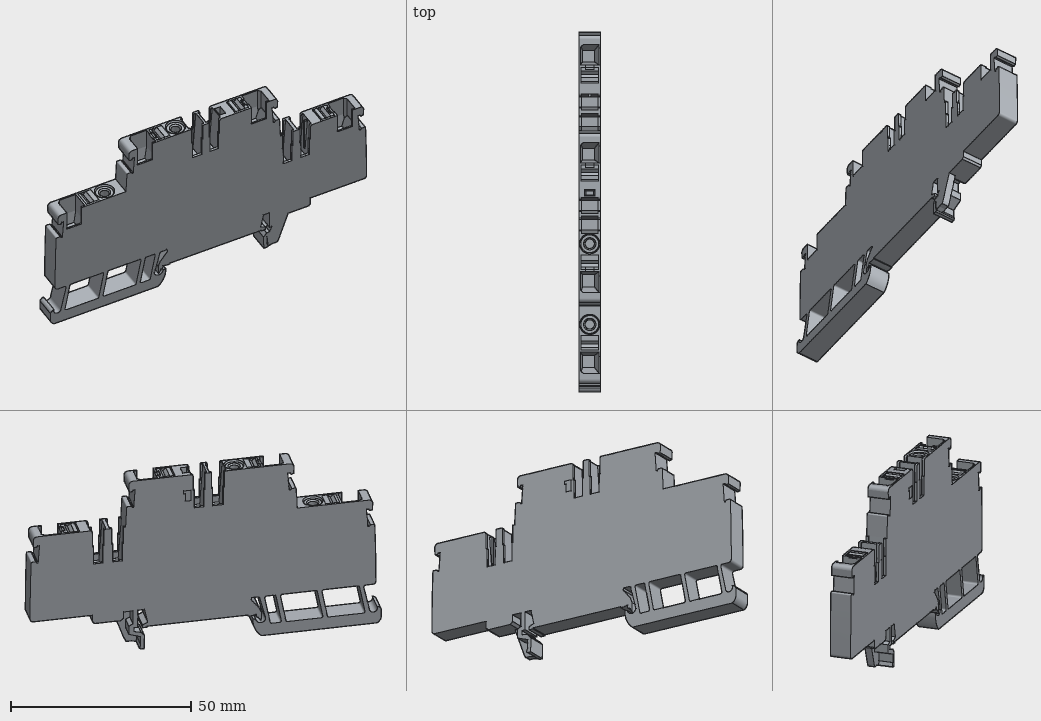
import cadquery as cq
import math

WIDTH = 6.1
HALF_WIDTH = WIDTH / 2
END_Y = 50.0
LOWER_TOP = 39.3
UPPER_TOP = 53.6
BODY_BOTTOM = 12.4
RAIL_SEAT = 7.0
TOE_BOTTOM = RAIL_SEAT - 0.3
MARGIN = 1.0

LOWER_LIP_PLUS = 49.7
UPPER_LIP_PLUS = 22.5
UPPER_LIP_MINUS = -25.8
LOWER_LIP_MINUS = -48.2
LIP_DROP = 8.3
BOTTOM_ROUND = 0.9
LIP_DRAFT = 0.3
CURVE_BULGE = 0.8

SLOT_DEPTH = 10.6
SLOT_STEP_DEPTH = 5.1
SLOT_STEP = 0.3
WELL_HALF_WIDTH = 2.3
WELL_FLARE = 0.6
WELL_EXTRA_DEPTH = 2.0
GUIDE_RIB_WIDTH = 0.6
GUIDE_RIB_DROP = 0.6

FUNNEL_SHAFT_DEPTH = 6.0
FUNNEL_TAPER_DEPTH = 3.5
FUNNEL_OUTER_TAPER = 1.6
FUNNEL_INNER_TAPER = 0.9
FUNNEL_CORNER = 0.8
FUNNEL_TOP_X = (-2.6, 2.6)
FUNNEL_FLOOR_X = (-2.0, 1.3)
PUSHER_WIDTH = 4.8
PUSHER_DEPTH = 10.0
PUSHER_POCKET_END = 13.9
GROOVE_START = 10.6
GROOVE_END = 12.4
GROOVE_DEPTH = 0.8
NOTCH_WIDTH = 2.4
NOTCH_DEPTH = 0.4
NOTCH_OVERLAP = 0.6

SOCKET_FROM_LIP = 17.0
SOCKET_RADIUS = 2.5
SOCKET_SEAT_RADIUS = 2.8
SOCKET_RECESS = 0.5
SOCKET_LENGTH = 8.0
SOCKET_BORE_RADIUS = 1.3
SOCKET_MOUTH_RADIUS = 1.7
SOCKET_BORE_DEPTH = 6.0

INSERT_TOP = 48.7
INSERT_BOTTOM = 45.4
INSERT_HALF_WIDTH = 1.5
INSERT_Y = (4.2, 6.3)
INSERT_HEAD_HEIGHT = 0.9
INSERT_HEAD_STEP = 0.5
WINDOW_Y = (4.4, 6.2)
WINDOW_TAPER = 0.4

FOOT_WEB_START_X = 1.0
PLATE_TOP = 3.6
RIB_LEAN = 1.7
RIB_HALF_WIDTH = 0.65
RIB_TOPS = (-16.1, -20.6, -32.4, -44.4)
RIB_ROOT_ROUND = 0.6
OPENING_FILLET = 0.5

PLUS_STYLE = {"side": 1, "funnel": (3.2, 8.9), "opening": (4.2, 8.9), "pusher": (9.5, 13.5)}
MINUS_STYLE = {"side": -1, "funnel": (3.4, 9.3), "opening": (3.4, 8.1), "pusher": (9.9, 13.9)}
TERMINALS = (
    {"lip": LOWER_LIP_PLUS, "top": LOWER_TOP, "notch": True, **PLUS_STYLE},
    {"lip": UPPER_LIP_PLUS, "top": UPPER_TOP, "notch": True, **PLUS_STYLE},
    {"lip": UPPER_LIP_MINUS, "top": UPPER_TOP, "notch": True, **MINUS_STYLE},
    {"lip": LOWER_LIP_MINUS, "top": LOWER_TOP, "notch": False, **MINUS_STYLE},
)
SOCKETS = (
    (UPPER_LIP_MINUS + SOCKET_FROM_LIP, UPPER_TOP),
    (LOWER_LIP_MINUS + SOCKET_FROM_LIP, LOWER_TOP),
)
LOWER_SLOTS = ((28.9, 32.2, 0.3, 0.8), (23.4, 26.7, 0.0, 0.3))
UPPER_SLOTS = ((0.2, 3.5, 0.3, 0.8), (-5.3, -1.7, 0.5, 0.3))


def plate(points, thickness=WIDTH):
    """Flat shape with the given (Y, Z) outline, centred on X = 0."""
    return cq.Workplane("YZ").polyline(points).close().extrude(thickness / 2, both=True)


def block(x_range, y_range, z_range):
    """Box between the given limits."""
    return (
        cq.Workplane("XY", origin=(0, 0, z_range[0]))
        .moveTo(x_range[0], y_range[0])
        .lineTo(x_range[1], y_range[0])
        .lineTo(x_range[1], y_range[1])
        .lineTo(x_range[0], y_range[1])
        .close()
        .extrude(z_range[1] - z_range[0])
    )


def tapered_hole(floor_x, floor_y, top_x, top_y, floor_z, top_z):
    """Four-sided funnel from a floor rectangle up to a larger top rectangle."""
    return (
        cq.Workplane("XY", origin=(sum(floor_x) / 2, sum(floor_y) / 2, floor_z))
        .rect(abs(floor_x[1] - floor_x[0]), abs(floor_y[1] - floor_y[0]))
        .workplane(offset=top_z - floor_z)
        .center((sum(top_x) - sum(floor_x)) / 2, (sum(top_y) - sum(floor_y)) / 2)
        .rect(abs(top_x[1] - top_x[0]), abs(top_y[1] - top_y[0]))
        .loft()
    )


def inward(terminal, distance):
    """Y at a distance inward from the lip of a terminal."""
    return terminal["lip"] - terminal["side"] * distance


def inward_range(terminal, start, end):
    """Sorted Y limits between two distances inward from the lip."""
    return tuple(sorted((inward(terminal, start), inward(terminal, end))))


def deck_body():
    """Two-deck body with the middle block that rests on the rail."""
    plus_end = LOWER_LIP_PLUS + LIP_DRAFT
    minus_end = LOWER_LIP_MINUS - LIP_DRAFT
    round_sag = BOTTOM_ROUND * (1 - math.sqrt(0.5))
    lower_lip_z = LOWER_TOP - LIP_DROP
    upper_lip_z = UPPER_TOP - LIP_DROP
    curve_z = (lower_lip_z + BODY_BOTTOM) / 2
    round_top = BODY_BOTTOM + BOTTOM_ROUND
    curve_out = CURVE_BULGE * LIP_DRAFT
    decks = [
        (LOWER_LIP_PLUS, LOWER_TOP),
        (UPPER_LIP_PLUS + LIP_DRAFT, LOWER_TOP),
        (UPPER_LIP_PLUS, upper_lip_z),
        (UPPER_LIP_PLUS, UPPER_TOP),
        (UPPER_LIP_MINUS, UPPER_TOP),
        (UPPER_LIP_MINUS, upper_lip_z),
        (UPPER_LIP_MINUS - LIP_DRAFT, LOWER_TOP),
        (LOWER_LIP_MINUS, LOWER_TOP),
        (LOWER_LIP_MINUS, lower_lip_z),
    ]
    underside = [
        (-13.1, BODY_BOTTOM),
        (-12.9, 11.8),
        (-15.3, 8.9),
        (-15.9, 7.4),
        (-15.8, 4.7),
        (-15.0, 5.9),
        (-14.4, 6.1),
        (-14.4, RAIL_SEAT),
        (-13.2, TOE_BOTTOM),
        (-12.1, TOE_BOTTOM),
        (-12.1, RAIL_SEAT),
        (16.7, RAIL_SEAT),
        (16.7, TOE_BOTTOM),
        (18.0, TOE_BOTTOM),
        (18.0, 7.6),
        (16.5, 8.3),
        (17.4, BODY_BOTTOM),
        (23.4, BODY_BOTTOM),
        (23.4, 10.4),
        (24.2, 9.7),
        (31.7, 9.7),
        (32.2, 10.3),
        (32.2, BODY_BOTTOM),
        (plus_end - BOTTOM_ROUND, BODY_BOTTOM),
    ]
    return (
        cq.Workplane("YZ")
        .moveTo(plus_end, round_top)
        .threePointArc((LOWER_LIP_PLUS + curve_out, curve_z), (LOWER_LIP_PLUS, lower_lip_z))
        .polyline(decks, includeCurrent=True)
        .threePointArc((LOWER_LIP_MINUS - curve_out, curve_z), (minus_end, round_top))
        .threePointArc(
            (minus_end + round_sag, BODY_BOTTOM + round_sag), (minus_end + BOTTOM_ROUND, BODY_BOTTOM)
        )
        .polyline(underside, includeCurrent=True)
        .threePointArc((plus_end - round_sag, BODY_BOTTOM + round_sag), (plus_end, round_top))
        .close()
        .extrude(HALF_WIDTH, both=True)
    )


def marker_catch(terminal):
    """Cutter for the notch and rounded hook at a deck end."""
    def at(inset, drop):
        return inward(terminal, inset), terminal["top"] - drop

    return (
        cq.Workplane("YZ")
        .moveTo(*at(-MARGIN, LIP_DROP))
        .lineTo(*at(0, LIP_DROP))
        .threePointArc(at(0.1, 8.0), at(0.4, 7.9))
        .lineTo(*at(1.3, 7.9))
        .lineTo(*at(1.7, 8.4))
        .lineTo(*at(2.0, 8.3))
        .lineTo(*at(2.4, 2.9))
        .lineTo(*at(1.8, 2.9))
        .lineTo(*at(1.5, 3.4))
        .lineTo(*at(0.7, 3.2))
        .lineTo(*at(0.6, 1.1))
        .threePointArc(at(1.0, 0.3), at(1.8, 0))
        .lineTo(*at(1.8, -MARGIN))
        .lineTo(*at(-MARGIN, -MARGIN))
        .close()
        .extrude(HALF_WIDTH, both=True)
    )


def foot():
    """Spring strip with a hooked toe, stiffened by a thinner web behind it."""
    strip = plate([
        (20.7, BODY_BOTTOM + MARGIN),
        (20.7, 8.3),
        (21.9, 7.7),
        (21.9, 5.1),
        (18.5, 3.9),
        (18.5, 1.4),
        (18.9, 0.3),
        (18.5, 0),
        (17.5, 0),
        (17.4, 4.2),
        (18.4, 5.3),
        (20.4, 5.8),
        (20.4, RAIL_SEAT),
        (19.3, RAIL_SEAT),
        (19.3, BODY_BOTTOM + MARGIN),
    ])
    web = plate([
        (25.2, 9.7),
        (22.2, 1.4),
        (21.7, 0.6),
        (20.2, 0.6),
        (18.9, 0.3),
        (18.5, 3.9),
        (20.7, 8.3),
        (20.7, BODY_BOTTOM + MARGIN),
        (25.2, BODY_BOTTOM + MARGIN),
    ])
    recess = cq.Workplane("XY").box(WIDTH, END_Y, UPPER_TOP)
    web = web.cut(recess.translate((FOOT_WEB_START_X - HALF_WIDTH, END_Y / 2, 0)))
    return strip.union(web)


def rail_plate():
    """Plate carried by leaning ribs, with a groove at each end."""
    first_rib_y = RIB_TOPS[0] + RIB_HALF_WIDTH
    last_rib_y = RIB_TOPS[-1] - RIB_HALF_WIDTH
    root_z = BODY_BOTTOM - RIB_ROOT_ROUND
    root_sag = RIB_ROOT_ROUND * (1 - math.sqrt(0.5))
    outline = (
        cq.Workplane("YZ")
        .moveTo(first_rib_y + RIB_ROOT_ROUND, BODY_BOTTOM + MARGIN)
        .lineTo(first_rib_y + RIB_ROOT_ROUND, BODY_BOTTOM)
        .threePointArc((first_rib_y + root_sag, BODY_BOTTOM - root_sag), (first_rib_y, root_z))
        .lineTo(-17.1, 5.4)
        .threePointArc((-15.7, 4.2), (-14.3, 5.4))
        .lineTo(-13.5, 5.6)
        .threePointArc((-14.0, 2.5), (-15.9, 0))
        .lineTo(-48.8, 0)
        .threePointArc((-49.6, 0.7), (-END_Y, 1.8))
        .lineTo(-END_Y, 4.3)
        .threePointArc((-49.6, 4.9), (-48.8, 5.2))
        .threePointArc((-47.6, 3.6), (-46.6, 4.8))
        .lineTo(last_rib_y, root_z)
        .threePointArc(
            (last_rib_y - root_sag, BODY_BOTTOM - root_sag), (last_rib_y - RIB_ROOT_ROUND, BODY_BOTTOM)
        )
        .lineTo(last_rib_y - RIB_ROOT_ROUND, BODY_BOTTOM + MARGIN)
        .close()
        .extrude(HALF_WIDTH, both=True)
    )
    for rib, next_rib in zip(RIB_TOPS, RIB_TOPS[1:]):
        high_y = rib - RIB_HALF_WIDTH
        low_y = next_rib + RIB_HALF_WIDTH
        opening = plate([
            (high_y, BODY_BOTTOM),
            (low_y, BODY_BOTTOM),
            (low_y - RIB_LEAN, PLATE_TOP),
            (high_y - RIB_LEAN, PLATE_TOP),
        ])
        outline = outline.cut(opening.edges("|X").fillet(OPENING_FILLET))
    return outline


def bridge_slot(low_y, high_y, low_round, high_round, top):
    """Cutter for a slot across the block: rounded mouth, then a step to a narrower base."""
    floor = top - SLOT_DEPTH
    step = top - SLOT_STEP_DEPTH
    slot = plate([
        (low_y, top + MARGIN),
        (low_y, step),
        (low_y + SLOT_STEP, step),
        (low_y + SLOT_STEP, floor),
        (high_y - SLOT_STEP, floor),
        (high_y - SLOT_STEP, step),
        (high_y, step),
        (high_y, top + MARGIN),
    ])
    for edge_y, radius, outward in ((low_y, low_round, -1), (high_y, high_round, 1)):
        if radius > 0:
            mouth = (
                cq.Workplane("YZ")
                .moveTo(edge_y, top - radius)
                .radiusArc((edge_y + outward * radius, top), outward * radius)
                .lineTo(edge_y, top)
                .close()
                .extrude(HALF_WIDTH, both=True)
            )
            slot = slot.union(mouth)
    return slot


def bridge_well(low_y, high_y, top):
    """Cutter for the tapered well in the middle of a slot."""
    well_floor = top - SLOT_DEPTH - WELL_EXTRA_DEPTH
    return plate([
        (low_y - WELL_FLARE, top),
        (low_y + SLOT_STEP, well_floor),
        (high_y - SLOT_STEP, well_floor),
        (high_y + WELL_FLARE, top),
    ], 2 * WELL_HALF_WIDTH)


def guide_rib():
    """Rib that stands in the outermost lower well, flush with the slot wall."""
    wall_y = LOWER_SLOTS[0][1] - SLOT_STEP
    return block(
        (-GUIDE_RIB_WIDTH / 2, GUIDE_RIB_WIDTH / 2),
        (wall_y, wall_y + MARGIN),
        (LOWER_TOP - SLOT_DEPTH, LOWER_TOP - GUIDE_RIB_DROP),
    )


def wire_funnel(terminal):
    """Cutter for a wire entry: straight shaft, then a taper that guides the wire in."""
    start, end = terminal["funnel"]
    y_range = inward_range(terminal, start, end)
    shaft_floor = terminal["top"] - FUNNEL_SHAFT_DEPTH
    taper_floor = shaft_floor - FUNNEL_TAPER_DEPTH
    shaft = block(FUNNEL_TOP_X, y_range, (shaft_floor, terminal["top"]))
    taper = tapered_hole(
        FUNNEL_FLOOR_X,
        inward_range(terminal, start + FUNNEL_OUTER_TAPER, end - FUNNEL_INNER_TAPER),
        FUNNEL_TOP_X,
        y_range,
        taper_floor,
        shaft_floor,
    )
    outer_side = ">Y" if terminal["side"] > 0 else "<Y"
    envelope = (
        block(FUNNEL_TOP_X, y_range, (taper_floor, terminal["top"]))
        .faces(outer_side)
        .edges("<X")
        .chamfer(FUNNEL_CORNER)
    )
    return shaft.union(taper).intersect(envelope)


def side_opening(terminal):
    """Cutter that opens the funnel shaft through the +X wall."""
    return block(
        (0, HALF_WIDTH),
        inward_range(terminal, *terminal["opening"]),
        (terminal["top"] - FUNNEL_SHAFT_DEPTH, terminal["top"]),
    )


def pusher_pocket(terminal):
    """Cutter for the pocket that holds a pusher."""
    return block(
        (-PUSHER_WIDTH / 2, PUSHER_WIDTH / 2),
        inward_range(terminal, terminal["pusher"][0], PUSHER_POCKET_END),
        (terminal["top"] - PUSHER_DEPTH, terminal["top"]),
    )


def tool_notch(terminal):
    """Cutter for the shallow notch between the funnel and the pusher."""
    return block(
        (-NOTCH_WIDTH / 2, NOTCH_WIDTH / 2),
        inward_range(terminal, terminal["funnel"][1], terminal["pusher"][0] + NOTCH_OVERLAP),
        (terminal["top"] - NOTCH_DEPTH, terminal["top"]),
    )


def socket_seat(y, top):
    """Cutter for the bore of a test socket, with a conical mouth."""
    profile = [
        (0, 0),
        (SOCKET_SEAT_RADIUS, 0),
        (SOCKET_RADIUS, -SOCKET_RECESS),
        (SOCKET_RADIUS, -SOCKET_RECESS - SOCKET_LENGTH),
        (0, -SOCKET_RECESS - SOCKET_LENGTH),
    ]
    bore = cq.Workplane("XZ").polyline(profile).close().revolve(360, (0, 0, 0), (0, 1, 0))
    return bore.translate((0, y, top))


def insert_window():
    """Cutter for the small tapered window that opens down onto the insert."""
    low_y, high_y = WINDOW_Y
    floor_half_width = INSERT_HALF_WIDTH - WINDOW_TAPER
    return tapered_hole(
        (-floor_half_width, floor_half_width),
        (low_y + WINDOW_TAPER, high_y - WINDOW_TAPER),
        (-INSERT_HALF_WIDTH, INSERT_HALF_WIDTH),
        WINDOW_Y,
        INSERT_TOP,
        UPPER_TOP,
    )


def make_pusher(terminal):
    """Pusher with a V groove across its top."""
    top = terminal["top"]
    pusher = block(
        (-PUSHER_WIDTH / 2, PUSHER_WIDTH / 2),
        inward_range(terminal, *terminal["pusher"]),
        (top - PUSHER_DEPTH, top),
    )
    groove = plate([
        (inward(terminal, GROOVE_START), top),
        (inward(terminal, (GROOVE_START + GROOVE_END) / 2), top - GROOVE_DEPTH),
        (inward(terminal, GROOVE_END), top),
    ])
    pusher = pusher.cut(groove)
    if terminal["notch"]:
        pusher = pusher.cut(tool_notch(terminal))
    return pusher


def make_socket(y, top):
    """Test socket: a bush with a blind bore and a conical mouth."""
    mouth_depth = SOCKET_MOUTH_RADIUS - SOCKET_BORE_RADIUS
    profile = [
        (0, -SOCKET_LENGTH),
        (SOCKET_RADIUS, -SOCKET_LENGTH),
        (SOCKET_RADIUS, 0),
        (SOCKET_MOUTH_RADIUS, 0),
        (SOCKET_BORE_RADIUS, -mouth_depth),
        (SOCKET_BORE_RADIUS, -SOCKET_BORE_DEPTH),
        (0, -SOCKET_BORE_DEPTH),
    ]
    bush = cq.Workplane("XZ").polyline(profile).close().revolve(360, (0, 0, 0), (0, 1, 0))
    return bush.translate((0, y, top - SOCKET_RECESS))


def make_insert():
    """L-shaped insert, flush with the -X face of the housing."""
    low_y, high_y = INSERT_Y
    head_bottom = INSERT_TOP - INSERT_HEAD_HEIGHT
    outline = [
        (low_y, INSERT_BOTTOM),
        (high_y - INSERT_HEAD_STEP, INSERT_BOTTOM),
        (high_y - INSERT_HEAD_STEP, head_bottom),
        (high_y, head_bottom),
        (high_y, INSERT_TOP),
        (low_y, INSERT_TOP),
    ]
    face = cq.Workplane("YZ", origin=(-HALF_WIDTH, 0, 0))
    return face.polyline(outline).close().extrude(HALF_WIDTH + INSERT_HALF_WIDTH)


def make_housing(insert):
    """Housing with its catches, slots, terminals and mounting features."""
    housing = deck_body().union(foot()).union(rail_plate())
    for slots, top in ((LOWER_SLOTS, LOWER_TOP), (UPPER_SLOTS, UPPER_TOP)):
        for low_y, high_y, low_round, high_round in slots:
            housing = housing.cut(bridge_slot(low_y, high_y, low_round, high_round, top))
            housing = housing.cut(bridge_well(low_y, high_y, top))
    housing = housing.union(guide_rib())
    for terminal in TERMINALS:
        housing = housing.cut(marker_catch(terminal))
        housing = housing.cut(wire_funnel(terminal))
        housing = housing.cut(side_opening(terminal))
        housing = housing.cut(pusher_pocket(terminal))
        if terminal["notch"]:
            housing = housing.cut(tool_notch(terminal))
    for y, top in SOCKETS:
        housing = housing.cut(socket_seat(y, top))
    return housing.cut(insert_window()).cut(insert)


insert = make_insert()
housing = make_housing(insert)
pushers = [make_pusher(terminal) for terminal in TERMINALS]
sockets = [make_socket(y, top) for y, top in SOCKETS]

result = cq.Compound.makeCompound([
    *housing.solids().vals(),
    *[pusher.solids().val() for pusher in pushers],
    *[socket.val() for socket in sockets],
    insert.val(),
])